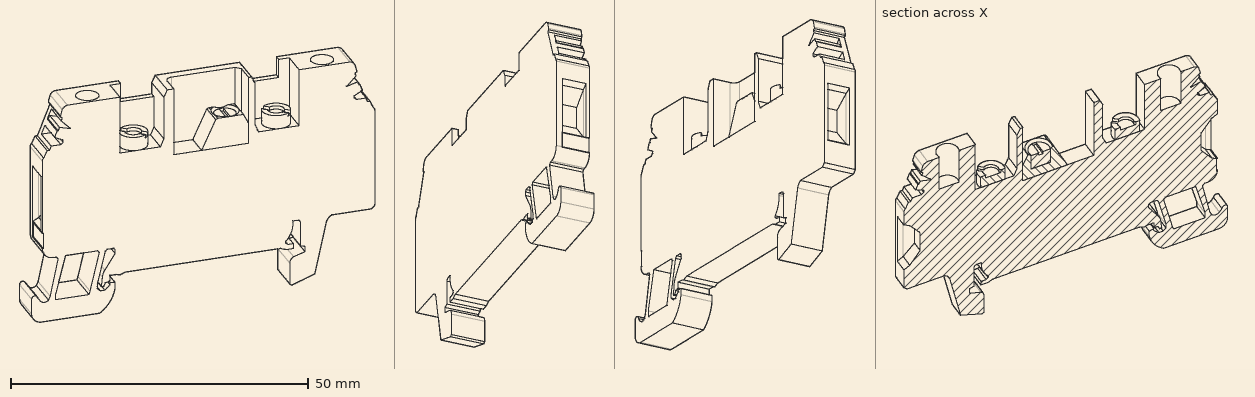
import cadquery as cq
import math

WIDTH = 6.1
TOP_Z = 39.95
BACK_Y = 30.65
FRONT_Y = -28.75
TIP_Y = -30.65
BLOCK_Z = 11.95
SIDE_X = -WIDTH / 2
OPEN_X = WIDTH / 2
WALL = 1.15
WALL_X = SIDE_X + WALL

BLOCK_MID_Y = (BACK_Y + FRONT_Y) / 2
BLOCK_HALF = (BACK_Y - FRONT_Y) / 2

SHOULDER_Z = 32.05
SHOULDER_BEVEL = 0.85
SHOULDER_ARC = (0.25, 30.75)
SHOULDER_ARC_FOOT_Z = 30.2
SLOPE_FOOT = 1.3
SLOPE_HEAD = 3.55
SLOPE_HEAD_Z = 37.7
NOSE_TIP = 3.25
NOSE_Z = 37.95
NOSE_EDGE_Z = 38.2
NOSE_ARC = (3.55, 39.3)
NOSE_TOP = 4.5

BACK_CHAMFER = 0.6
FRONT_RADIUS = 1.95

TERMINAL_MID_Y = 1.1
TERMINAL_X = 0.6
SCREW_OFFSET = 12.75
TEST_HOLE_OFFSET = 20.95
TEST_HOLE_RADIUS = 1.95
TEST_HOLE_DEPTH = 7.35
RECESS_OUTER = 16.0
RECESS_INNER_FLOOR = 8.75
RECESS_INNER_TOP = 8.15
RECESS_SLOPE_HEIGHT = 1.4
RECESS_DEPTH = 10.4
RECESS_Z = TOP_Z - RECESS_DEPTH
NOTCH_OUTER = 14.1
NOTCH_DEPTH = 3.4
NOTCH_Z = TOP_Z - NOTCH_DEPTH
NOTCH_CHAMFER = (0.6, 1.3)

SCREW_RADIUS = 2.45
SCREW_HEIGHT = 2.45
SCREW_SOCKET_RADIUS = 1.4
SCREW_SLOT_WIDTH = 1.05
SCREW_SLOT_ANGLE = 51.0
SCREW_SLOT_DEPTH = 0.6

POCKET_X = -1.4
POCKET_BACK_Y = 8.1
POCKET_FRONT_Y = -5.3
POCKET_CHAMFER = 0.85
POCKET_RADIUS = 1.15
POCKET_DEPTH = 12.25
POCKET_Z = TOP_Z - POCKET_DEPTH
SLIDER_HEIGHT = 5.5
SLIDER_Z = POCKET_Z + SLIDER_HEIGHT
SLIDER_BACK_BEVEL = (0.9, 1.85)
SLIDER_FLAT_Y = 2.6
SLIDER_BREAK = (0.35, 0.2)
SLIDER_FRONT_Y = -0.3
SLIDER_SCREW_Y = 4.7
SLIDER_SCREW_RADIUS = 1.9
SLIDER_SCREW_SLOT = (0.75, 0.5)
SLIDER_SINK_RADIUS = 2.4
SLIDER_SINK_DEPTH = 0.4
SLIDER_SCREW_LENGTH = 3.05

FUNNEL_X = (WALL_X, 2.4)
FUNNEL_Z = (16.7, 27.1)
FUNNEL_LIP = (0.6, 1.1)
FUNNEL_END_X = (-1.3, 2.0)
FUNNEL_END_Z = (19.9, 23.95)
FUNNEL_DEPTH = 3.05
FACE_STEP = 0.2


def circle_point(center, radius, degrees):
    """Point of a circle in the YZ plane; the angle runs from +Y towards +Z."""
    angle = math.radians(degrees)
    return (center[0] + radius * math.cos(angle), center[1] + radius * math.sin(angle))


def side_sketch():
    """Workplane on the closed side, with its local axes along Y and Z."""
    return cq.Workplane("YZ", origin=(SIDE_X, 0, 0))


def box_between(x_range, y_range, z_range):
    """Box spanning the given ranges."""
    size = [high - low for low, high in (x_range, y_range, z_range)]
    corner = (x_range[0], y_range[0], z_range[0])
    return cq.Workplane("XY", origin=corner).box(*size, centered=False)


def mirrored_pair(shape, mid_y):
    """The shape and its mirror image about the plane Y = mid_y."""
    return shape, shape.mirror("XZ", (0, mid_y, 0))



def end_point(inset, z, side):
    """Point at a distance in from the +Y (side 1) or -Y (side -1) block end."""
    return (BLOCK_MID_Y + side * (BLOCK_HALF - inset), z)


def main_block():
    """Block with sloping shoulders, a chamfered and a rounded bottom corner."""
    shoulder_bend = (0.05, 30.5)
    nose_bend = (3.9, 39.7)
    front_center = (FRONT_Y + FRONT_RADIUS, BLOCK_Z + FRONT_RADIUS)
    return (
        side_sketch()
        .moveTo(BACK_Y - BACK_CHAMFER, BLOCK_Z)
        .lineTo(BACK_Y, BLOCK_Z + BACK_CHAMFER)
        .lineTo(*end_point(0, SHOULDER_ARC_FOOT_Z, 1))
        .threePointArc(end_point(*shoulder_bend, 1), end_point(*SHOULDER_ARC, 1))
        .lineTo(*end_point(SHOULDER_BEVEL, SHOULDER_Z, 1))
        .lineTo(*end_point(SLOPE_FOOT, SHOULDER_Z, 1))
        .lineTo(*end_point(SLOPE_HEAD, SLOPE_HEAD_Z, 1))
        .lineTo(*end_point(NOSE_TIP, NOSE_Z, 1))
        .lineTo(*end_point(NOSE_TIP, NOSE_EDGE_Z, 1))
        .lineTo(*end_point(*NOSE_ARC, 1))
        .threePointArc(end_point(*nose_bend, 1), end_point(NOSE_TOP, TOP_Z, 1))
        .lineTo(*end_point(NOSE_TOP, TOP_Z, -1))
        .threePointArc(end_point(*nose_bend, -1), end_point(*NOSE_ARC, -1))
        .lineTo(*end_point(NOSE_TIP, NOSE_EDGE_Z, -1))
        .lineTo(*end_point(NOSE_TIP, NOSE_Z, -1))
        .lineTo(*end_point(SLOPE_HEAD, SLOPE_HEAD_Z, -1))
        .lineTo(*end_point(SLOPE_FOOT, SHOULDER_Z, -1))
        .lineTo(*end_point(SHOULDER_BEVEL, SHOULDER_Z, -1))
        .lineTo(*end_point(*SHOULDER_ARC, -1))
        .threePointArc(end_point(*shoulder_bend, -1), end_point(0, SHOULDER_ARC_FOOT_Z, -1))
        .lineTo(FRONT_Y, front_center[1])
        .threePointArc(circle_point(front_center, FRONT_RADIUS, 225), (front_center[0], BLOCK_Z))
        .close()
        .extrude(WIDTH)
    )


def rail_block():
    """Lower middle block that rests on the rail, with a lip at each end."""
    seat_z = 7.2
    lip_z = 6.8
    return (
        side_sketch()
        .moveTo(16.0, BLOCK_Z)
        .lineTo(16.0, 11.6)
        .threePointArc((15.55, 9.55), (14.7, 8.35))
        .lineTo(14.7, 8.0)
        .lineTo(15.1, 7.7)
        .lineTo(16.05, 7.7)
        .lineTo(16.05, lip_z)
        .lineTo(14.7, lip_z)
        .lineTo(13.8, seat_z)
        .lineTo(-13.9, seat_z)
        .lineTo(-14.9, lip_z)
        .lineTo(-15.5, 7.0)
        .lineTo(-16.65, 7.0)
        .lineTo(-16.65, 5.95)
        .lineTo(-17.45, 5.75)
        .lineTo(-17.8, 5.15)
        .lineTo(-18.2, 5.15)
        .lineTo(-18.0, 6.9)
        .threePointArc((-17.9, 7.55), (-17.6, 8.15))
        .lineTo(-15.75, 10.95)
        .lineTo(-15.75, 11.65)
        .lineTo(-16.05, BLOCK_Z)
        .close()
        .extrude(WIDTH)
    )


def fixed_foot():
    """Rigid hooked foot on the +Y side of the rail."""
    return (
        side_sketch()
        .moveTo(22.9, BLOCK_Z)
        .threePointArc((22.35, 11.5), (22.0, 10.9))
        .lineTo(19.9, 1.5)
        .lineTo(15.8, 0)
        .lineTo(15.45, 0.25)
        .lineTo(15.45, 4.15)
        .threePointArc((15.6, 4.85), (16.1, 5.3))
        .lineTo(18.15, 5.9)
        .lineTo(18.15, 6.85)
        .lineTo(17.35, 7.1)
        .lineTo(17.35, 11.5)
        .threePointArc((17.1, 11.8), (16.65, BLOCK_Z))
        .close()
        .extrude(WIDTH)
    )


def spring_foot():
    """Flexible foot: two slanted legs carrying a hooked bar with a finger tip."""
    sole_z = 0.25
    heel_radius = 1.8
    heel_center = (TIP_Y + heel_radius, sole_z + heel_radius)
    tip_radius = 0.55
    tip_center = (TIP_Y + tip_radius, 4.8)
    outline = (
        side_sketch()
        .moveTo(-17.15, BLOCK_Z)
        .lineTo(-17.5, 11.6)
        .lineTo(-18.95, 5.7)
        .lineTo(-18.95, 4.9)
        .lineTo(-18.4, 4.4)
        .lineTo(-17.6, 4.4)
        .lineTo(-16.65, 5.3)
        .lineTo(-16.65, 5.7)
        .lineTo(-15.75, 5.6)
        .lineTo(-15.75, 4.4)
        .threePointArc((-16.8, 1.9), (-18.5, sole_z))
        .lineTo(heel_center[0], sole_z)
        .threePointArc(circle_point(heel_center, heel_radius, 225), (TIP_Y, heel_center[1]))
        .lineTo(TIP_Y, tip_center[1])
        .threePointArc(
            circle_point(tip_center, tip_radius, 90), circle_point(tip_center, tip_radius, 0)
        )
        .lineTo(-29.05, 4.15)
        .threePointArc((-28.4, 3.85), (-27.65, 4.15))
        .lineTo(-27.35, 4.85)
        .lineTo(-25.9, 11.6)
        .lineTo(-26.3, BLOCK_Z)
        .close()
        .extrude(WIDTH)
    )
    window = (
        side_sketch()
        .moveTo(-18.9, BLOCK_Z)
        .lineTo(-24.6, BLOCK_Z)
        .lineTo(-26.35, 5.1)
        .lineTo(-26.35, 4.05)
        .lineTo(-20.4, 4.05)
        .lineTo(-20.2, 4.65)
        .lineTo(-18.55, 11.6)
        .close()
        .extrude(WIDTH)
    )
    return outline.cut(window)


def terminal_recess():
    """Screw recess on the +Y side, open to +X, with a sloping foot on its inner wall."""
    slope_z = RECESS_Z + RECESS_SLOPE_HEIGHT
    outline = [
        (TERMINAL_MID_Y + RECESS_OUTER, TOP_Z),
        (TERMINAL_MID_Y + RECESS_OUTER, RECESS_Z),
        (TERMINAL_MID_Y + RECESS_INNER_FLOOR, RECESS_Z),
        (TERMINAL_MID_Y + RECESS_INNER_TOP, slope_z),
        (TERMINAL_MID_Y + RECESS_INNER_TOP, TOP_Z),
    ]
    return cq.Workplane("YZ", origin=(WALL_X, 0, 0)).polyline(outline).close().extrude(OPEN_X - WALL_X)


def top_notch():
    """Notch across the plate above the +Y recess, chamfering the centre wall."""
    chamfer_y, chamfer_z = NOTCH_CHAMFER
    inner_y = TERMINAL_MID_Y + RECESS_INNER_TOP
    outline = [
        (TERMINAL_MID_Y + NOTCH_OUTER, TOP_Z),
        (TERMINAL_MID_Y + NOTCH_OUTER, NOTCH_Z),
        (inner_y, NOTCH_Z),
        (inner_y, TOP_Z - chamfer_z),
        (inner_y - chamfer_y, TOP_Z),
    ]
    return side_sketch().polyline(outline).close().extrude(WIDTH)


def test_hole():
    """Round blind hole in the top, on the +Y side."""
    hole_z = TOP_Z - TEST_HOLE_DEPTH
    return (
        cq.Workplane("XY", origin=(TERMINAL_X, TERMINAL_MID_Y + TEST_HOLE_OFFSET, hole_z))
        .circle(TEST_HOLE_RADIUS)
        .extrude(TEST_HOLE_DEPTH)
    )


def slope_point(z):
    """Point of the +Y slope at height z."""
    rise = (z - SHOULDER_Z) / (SLOPE_HEAD_Z - SHOULDER_Z)
    return end_point(SLOPE_FOOT + rise * (SLOPE_HEAD - SLOPE_FOOT), z, 1)


def slope_grooves():
    """Two undercut grooves in the +Y slope, open to +X."""
    lip_inset = 0.2
    upper = [
        slope_point(37.2),
        (slope_point(37.2)[0] - 1.7, 35.5),
        (slope_point(36.05)[0] - lip_inset, 36.05),
        (slope_point(35.4)[0] - lip_inset, 35.4),
        slope_point(35.4),
    ]
    lower_in_y = slope_point(34.3)[0] - 1.55
    lower = [
        slope_point(34.3),
        (lower_in_y, 33.5),
        (lower_in_y, 33.15),
        (lower_in_y + 0.4, 32.8),
        slope_point(32.8),
    ]
    outward = 0.6
    grooves = cq.Workplane("YZ", origin=(WALL_X, 0, 0))
    for profile in (upper, lower):
        opening = [(profile[-1][0] + outward, profile[-1][1]), (profile[0][0] + outward, profile[0][1])]
        grooves = grooves.polyline(profile + opening).close()
    return grooves.extrude(OPEN_X - WALL_X)


def wire_funnel():
    """Tapered blind wire entry in the +Y end, with a short lead-in above and below."""
    lip_height, lip_depth = FUNNEL_LIP
    mid_x = sum(FUNNEL_X) / 2
    mid_z = sum(FUNNEL_Z) / 2
    mouth_x = FUNNEL_X[1] - FUNNEL_X[0]
    mouth_z = FUNNEL_Z[1] - FUNNEL_Z[0]
    throat_z = mouth_z - 2 * lip_height
    end_x = FUNNEL_END_X[1] - FUNNEL_END_X[0]
    end_z = FUNNEL_END_Z[1] - FUNNEL_END_Z[0]
    lead_in = (
        cq.Workplane(cq.Plane((mid_x, BACK_Y, mid_z), (1, 0, 0), (0, -1, 0)))
        .rect(mouth_x, mouth_z)
        .workplane(offset=lip_depth)
        .rect(mouth_x, throat_z)
        .loft(ruled=True)
    )
    shift_x = sum(FUNNEL_END_X) / 2 - mid_x
    shift_z = sum(FUNNEL_END_Z) / 2 - mid_z
    taper = (
        cq.Workplane(cq.Plane((mid_x, BACK_Y - lip_depth, mid_z), (1, 0, 0), (0, -1, 0)))
        .rect(mouth_x, throat_z)
        .workplane(offset=FUNNEL_DEPTH - lip_depth)
        .center(shift_x, shift_z)
        .rect(end_x, end_z)
        .loft(ruled=True)
    )
    return lead_in.union(taper)


def centre_pocket():
    """Pocket in the centre of the top, open to +X, with one chamfered and one round corner."""
    round_center = (POCKET_X + POCKET_RADIUS, POCKET_FRONT_Y + POCKET_RADIUS)
    return (
        cq.Workplane("XY", origin=(0, 0, POCKET_Z))
        .moveTo(OPEN_X, POCKET_BACK_Y)
        .lineTo(POCKET_X + POCKET_CHAMFER, POCKET_BACK_Y)
        .lineTo(POCKET_X, POCKET_BACK_Y - POCKET_CHAMFER)
        .lineTo(POCKET_X, round_center[1])
        .threePointArc(circle_point(round_center, POCKET_RADIUS, 225), (round_center[0], POCKET_FRONT_Y))
        .lineTo(OPEN_X, POCKET_FRONT_Y)
        .close()
        .extrude(POCKET_DEPTH)
    )


def make_housing():
    """Plate-shaped housing with feet, recesses, funnels and the centre pocket."""
    housing = main_block().union(rail_block()).union(fixed_foot()).union(spring_foot())
    for shape in (terminal_recess(), top_notch(), test_hole()):
        for cutter in mirrored_pair(shape, TERMINAL_MID_Y):
            housing = housing.cut(cutter)
    for shape in (slope_grooves(), wire_funnel()):
        for cutter in mirrored_pair(shape, BLOCK_MID_Y):
            housing = housing.cut(cutter)
    face_step = box_between(
        (WALL_X, OPEN_X), (FRONT_Y, FRONT_Y + FACE_STEP), (BLOCK_Z + FRONT_RADIUS, FUNNEL_Z[0])
    )
    return housing.cut(face_step).cut(centre_pocket())



def make_terminal_screw(side):
    """Screw on the +Y (side 1) or -Y (side -1) recess floor, with a slot and a round socket."""
    head = (
        cq.Workplane("XY", origin=(TERMINAL_X, TERMINAL_MID_Y + side * SCREW_OFFSET, RECESS_Z))
        .circle(SCREW_RADIUS)
        .extrude(SCREW_HEIGHT)
    )
    top = head.faces(">Z").workplane(origin=head.val().Center().toTuple())
    socket = top.circle(SCREW_SOCKET_RADIUS).extrude(-SCREW_SLOT_DEPTH, combine=False)
    slot = (
        top.transformed(rotate=(0, 0, SCREW_SLOT_ANGLE))
        .rect(2 * SCREW_RADIUS, SCREW_SLOT_WIDTH)
        .extrude(-SCREW_SLOT_DEPTH, combine=False)
    )
    return head.cut(socket).cut(slot)


def slider_screw_base():
    """Workplane at the lower end of the slider screw."""
    base_z = SLIDER_Z - SLIDER_SINK_DEPTH - SLIDER_SCREW_LENGTH
    return cq.Workplane("XY", origin=(TERMINAL_X, SLIDER_SCREW_Y, base_z))


def make_slider():
    """Block with bevelled ends filling the +Y part of the pocket, countersunk for its screw."""
    bevel_y, bevel_z = SLIDER_BACK_BEVEL
    break_y, break_z = SLIDER_BREAK
    profile = [
        (POCKET_BACK_Y, POCKET_Z),
        (POCKET_BACK_Y, SLIDER_Z - bevel_z),
        (POCKET_BACK_Y - bevel_y, SLIDER_Z),
        (SLIDER_FLAT_Y, SLIDER_Z),
        (SLIDER_FLAT_Y - break_y, SLIDER_Z - break_z),
        (SLIDER_FRONT_Y, POCKET_Z),
    ]
    block = side_sketch().polyline(profile).close().extrude(WIDTH).intersect(centre_pocket())
    bore = slider_screw_base().circle(SLIDER_SCREW_RADIUS).extrude(SLIDER_SCREW_LENGTH)
    countersink = (
        slider_screw_base()
        .workplane(offset=SLIDER_SCREW_LENGTH)
        .circle(SLIDER_SCREW_RADIUS)
        .workplane(offset=SLIDER_SINK_DEPTH)
        .circle(SLIDER_SINK_RADIUS)
        .loft()
    )
    return block.cut(bore).cut(countersink)


def make_slider_screw():
    """Screw in the slider's bore, with a slot along X."""
    slot_width, slot_depth = SLIDER_SCREW_SLOT
    screw = slider_screw_base().circle(SLIDER_SCREW_RADIUS).extrude(SLIDER_SCREW_LENGTH)
    slot = (
        slider_screw_base()
        .workplane(offset=SLIDER_SCREW_LENGTH)
        .rect(2 * SLIDER_SCREW_RADIUS, slot_width)
        .extrude(-slot_depth)
    )
    return screw.cut(slot)


housing = make_housing()
terminal_screws = [make_terminal_screw(side) for side in (1, -1)]
slider = make_slider()
slider_screw = make_slider_screw()

result = cq.Compound.makeCompound(
    [housing.val(), *[screw.val() for screw in terminal_screws], slider.val(), slider_screw.val()]
)